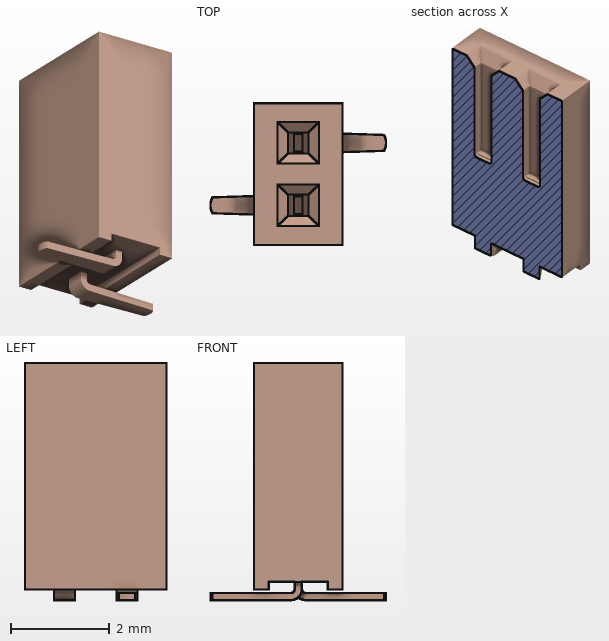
import cadquery as cq
import math

total_height = 4.83
foot_span = 3.58

body_width = 1.805
body_length = 2.89
standoff = 0.215
recess_width = 1.2
recess_height = 0.16
recess_top = standoff + recess_height

pitch = 1.27

mouth_size = 0.845
throat_x = 0.415
throat_y = 0.43
lead_in_depth = (mouth_size - throat_x) / 2
socket_depth = 2.415
groove_width = 0.165
groove_floor_length = 0.357
groove_depth = (throat_y - groove_floor_length) / 2

tail_thickness = 0.15
tail_width = 0.43
bend_inner_radius = 0.075
bend_outer_radius = bend_inner_radius + tail_thickness
foot_tip_width = 0.33
foot_tip_bulge = 0.045
tail_embed = 0.095


def make_housing():
    """Rectangular block with a channel along the underside."""
    block = cq.Workplane("XY").workplane(offset=standoff).rect(body_width, body_length)
    block = block.extrude(total_height - standoff)
    channel = cq.Workplane("XY").workplane(offset=standoff).rect(recess_width, body_length)
    return block.cut(channel.extrude(recess_height))


def make_frustum(top_z, top_size, bottom_size, depth):
    """Rectangular frustum going down from top_z."""
    return (
        cq.Workplane("XY")
        .workplane(offset=top_z)
        .rect(*top_size)
        .workplane(offset=-depth)
        .rect(*bottom_size)
        .loft(ruled=True)
    )


def make_socket():
    """Cutter for one socket: lead-in, straight throat and grooved floor."""
    floor_z = total_height - socket_depth
    throat = (throat_x, throat_y)
    lead_in = make_frustum(total_height, (mouth_size, mouth_size), throat, lead_in_depth)
    shaft = cq.Workplane("XY").workplane(offset=floor_z).rect(*throat)
    shaft = shaft.extrude(socket_depth - lead_in_depth)
    groove_top = (groove_width, throat_y)
    groove_floor = (groove_width, groove_floor_length)
    groove = make_frustum(floor_z, groove_top, groove_floor, groove_depth)
    return lead_in.union(shaft).union(groove)


def make_tail():
    """One contact tail: a stem bent into a foot that points along +X."""
    half_thickness = tail_thickness / 2
    half_width = tail_width / 2
    half_tip = foot_tip_width / 2
    foot_end = foot_span / 2
    bend_x = half_thickness + bend_inner_radius
    bend_z = bend_outer_radius
    diagonal = math.sqrt(0.5)
    stem_top = recess_top + tail_embed

    side_profile = (
        cq.Workplane("XZ")
        .moveTo(-half_thickness, stem_top)
        .lineTo(-half_thickness, bend_z)
        .threePointArc(
            (bend_x - bend_outer_radius * diagonal, bend_z - bend_outer_radius * diagonal),
            (bend_x, 0),
        )
        .lineTo(foot_end, 0)
        .lineTo(foot_end, tail_thickness)
        .lineTo(bend_x, tail_thickness)
        .threePointArc(
            (bend_x - bend_inner_radius * diagonal, bend_z - bend_inner_radius * diagonal),
            (half_thickness, bend_z),
        )
        .lineTo(half_thickness, stem_top)
        .close()
        .extrude(half_width, both=True)
    )
    plan_outline = (
        cq.Workplane("XY")
        .moveTo(-half_thickness, -half_width)
        .lineTo(bend_x, -half_width)
        .lineTo(foot_end - foot_tip_bulge, -half_tip)
        .threePointArc((foot_end, 0), (foot_end - foot_tip_bulge, half_tip))
        .lineTo(bend_x, half_width)
        .lineTo(-half_thickness, half_width)
        .close()
        .extrude(stem_top)
    )
    return side_profile.intersect(plan_outline)


result = make_housing()
for side, turn in ((1, 0), (-1, 180)):
    y = side * pitch / 2
    tail = make_tail().rotate((0, 0, 0), (0, 0, 1), turn)
    result = result.cut(make_socket().translate((0, y, 0)))
    result = result.union(tail.translate((0, y, 0)))